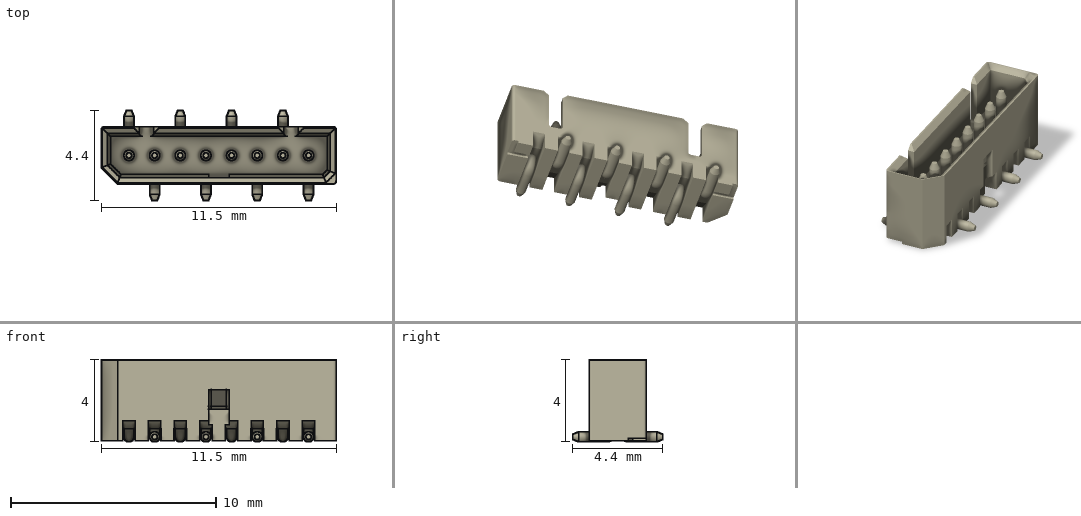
import cadquery as cq
import math

pin_count = 8
pitch = 1.25
pin_radius = 0.25
pin_tip_radius = 0.13
pin_tip_length = 0.3
pin_top = 3.4
pin_reach = 2.2
pin_bend_radius = 0.6
pin_axis_height = pin_radius
pin_positions = [(i - (pin_count - 1) / 2) * pitch for i in range(pin_count)]

housing_length = 11.45
housing_width = 2.8
housing_bottom = 0.05
housing_top = 4.0
key_chamfer = 0.8
corner_radius = 0.15
half_length = housing_length / 2
half_width = housing_width / 2

cavity_length = 10.85
cavity_width = 2.15
cavity_floor = housing_bottom + 1.55
cavity_key_chamfer = 0.6
cavity_small_chamfer = 0.3
rim_chamfer = 0.25
floor_chamfer = 0.15
cavity_wall_y = cavity_width / 2
floor_edge_y = cavity_wall_y - floor_chamfer

slot_offset = 3.525
slot_width = 0.7
slot_foot_radius = 0.15

window_width = 1.0
window_top = housing_bottom + 2.5

channel_width = 0.6
channel_mouth_top = housing_bottom + 0.975
channel_inner_top = housing_bottom + 0.6
channel_slope_end = 0.7

relief_height = 0.13
relief_depth = 0.3
relief_start_y = 0.5
relief_passage_end_y = 0.74


def cavity_outline(height, growth):
    """Cavity outline at a height, with every side moved outward by the growth."""
    x = cavity_length / 2 + growth
    y = cavity_width / 2 + growth
    corner_growth = growth * (2 - math.sqrt(2))
    key = cavity_key_chamfer + corner_growth
    small = cavity_small_chamfer + corner_growth
    points = [
        (-x, y),
        (-x, -y + key),
        (-x + key, -y),
        (x - small, -y),
        (x, -y + small),
        (x, y),
    ]
    return cq.Wire.makePolygon([cq.Vector(px, py, height) for px, py in points], close=True)


def make_cavity():
    levels = [
        (cavity_floor, -floor_chamfer),
        (cavity_floor + floor_chamfer, 0),
        (housing_top - rim_chamfer, 0),
        (housing_top, rim_chamfer),
    ]
    wires = [cavity_outline(height, growth) for height, growth in levels]
    return cq.Workplane(cq.Solid.makeLoft(wires, True))


def make_block():
    block = (
        cq.Workplane("XY")
        .workplane(offset=housing_bottom)
        .rect(housing_length, housing_width)
        .extrude(housing_top - housing_bottom)
    )
    block = block.edges("|Z").edges("<X and <Y").chamfer(key_chamfer)
    return block.edges("|Z").edges(">Y or (>X and <Y)").fillet(corner_radius)


def box_between(x_range, y_range, z_range):
    lows, highs = zip(x_range, y_range, z_range)
    size = [high - low for low, high in zip(lows, highs)]
    return cq.Workplane("XY").box(*size, centered=False).translate(lows)


def make_slot(x):
    """Slot with rounded feet and a rim flared like the cavity."""
    half = slot_width / 2
    floor_half = half - slot_foot_radius
    foot_top = cavity_floor + slot_foot_radius
    arc_inset = slot_foot_radius * math.sqrt(0.5)
    arc_x = floor_half + arc_inset
    arc_z = foot_top - arc_inset
    slot = (
        cq.Workplane("XZ", origin=(x, half_width, 0))
        .moveTo(-floor_half, cavity_floor)
        .lineTo(floor_half, cavity_floor)
        .threePointArc((arc_x, arc_z), (half, foot_top))
        .lineTo(half, housing_top - rim_chamfer)
        .lineTo(half + rim_chamfer, housing_top)
        .lineTo(-half - rim_chamfer, housing_top)
        .lineTo(-half, housing_top - rim_chamfer)
        .lineTo(-half, foot_top)
        .threePointArc((-arc_x, arc_z), (-floor_half, cavity_floor))
        .close()
    )
    return slot.extrude(half_width - floor_edge_y)


def make_channel(x):
    """Channel across the whole width, its ceiling rising to the front and back mouths."""
    profile = [
        (-half_width, housing_bottom),
        (-half_width, channel_mouth_top),
        (-channel_slope_end, channel_inner_top),
        (channel_slope_end, channel_inner_top),
        (half_width, channel_mouth_top),
        (half_width, housing_bottom),
    ]
    channel = cq.Workplane("YZ", origin=(x, 0, 0)).polyline(profile).close()
    return channel.extrude(channel_width / 2, both=True)


def make_pin(x, side):
    """Pin at x with its foot pointing along side (+1 or -1) times Y."""
    bend_y = side * pin_bend_radius
    bend_z = pin_axis_height + pin_bend_radius
    arc_middle = (
        bend_y - bend_y * math.sqrt(0.5),
        bend_z - pin_bend_radius * math.sqrt(0.5),
    )
    path = (
        cq.Workplane("YZ", origin=(x, 0, 0))
        .moveTo(0, pin_top - pin_tip_length)
        .lineTo(0, bend_z)
        .threePointArc(arc_middle, (bend_y, pin_axis_height))
        .lineTo(side * (pin_reach - pin_tip_length), pin_axis_height)
    )
    wire = (
        cq.Workplane("XY", origin=(x, 0, pin_top - pin_tip_length))
        .circle(pin_radius)
        .sweep(path)
    )
    ends = [
        (cq.Vector(x, 0, pin_top - pin_tip_length), cq.Vector(0, 0, 1)),
        (cq.Vector(x, side * (pin_reach - pin_tip_length), pin_axis_height), cq.Vector(0, side, 0)),
    ]
    for base, direction in ends:
        tip = cq.Solid.makeCone(pin_radius, pin_tip_radius, pin_tip_length, base, direction)
        wire = wire.union(cq.Workplane(tip))
    return wire


pins = []
for index, pin_x in enumerate(pin_positions):
    foot_side = 1 if index % 2 == 0 else -1
    pins.append(make_pin(pin_x, foot_side))

housing = make_block().cut(make_cavity())

for slot_x in (-slot_offset, slot_offset):
    housing = housing.cut(make_slot(slot_x))

window_x = (-window_width / 2, window_width / 2)
housing = housing.cut(box_between(window_x, (-half_width, -floor_edge_y), (cavity_floor, window_top)))
housing = housing.cut(box_between(window_x, (-half_width, -cavity_wall_y), (housing_bottom, cavity_floor)))

for pin_x in pin_positions:
    housing = housing.cut(make_channel(pin_x))

relief_z = (housing_bottom, housing_bottom + relief_height)
relief = box_between((-half_length, relief_depth - half_length), (relief_start_y, half_width), relief_z)
passage = box_between((-half_length, pin_positions[0]), (relief_start_y, relief_passage_end_y), relief_z)
end_relief = relief.union(passage)
housing = housing.cut(end_relief).cut(end_relief.mirror("YZ"))

for pin in pins:
    housing = housing.cut(pin)

result = cq.Compound.makeCompound([housing.val(), *[pin.val() for pin in pins]])